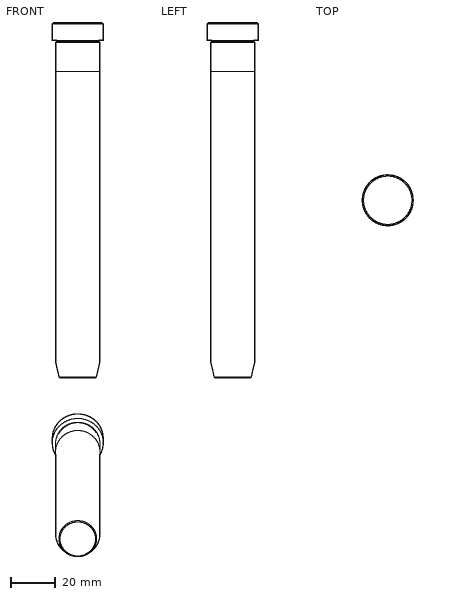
import cadquery as cq

total_length = 160.0
pin_radius = 10.0
head_radius = 11.5
head_height = 8.0
head_chamfer = 0.6

groove_width = 1.0
groove_depth = 0.5
groove_lead = 0.5

joint_depth = 22.0

taper_height = 7.2
tip_radius = 8.5
tip_chamfer = 0.5

head_bottom = total_length - head_height
groove_bottom = head_bottom - groove_width
groove_radius = pin_radius - groove_depth
joint_z = total_length - joint_depth


def revolve_profile(points):
    """Revolve a closed (radius, z) outline around the Z axis."""
    return cq.Workplane("XZ").polyline(points).close().revolve(360, (0, 0), (0, 1))


def make_headed_section():
    """Chamfered head, relief groove and fitted cylinder as one solid."""
    return revolve_profile([
        (0, joint_z),
        (pin_radius, joint_z),
        (pin_radius, groove_bottom),
        (groove_radius, groove_bottom + groove_lead),
        (groove_radius, head_bottom),
        (head_radius, head_bottom),
        (head_radius, total_length - head_chamfer),
        (head_radius - head_chamfer, total_length),
        (0, total_length),
    ])


def make_shank():
    """Long cylinder with a conical lead-in and a small chamfer at the tip."""
    return revolve_profile([
        (0, 0),
        (tip_radius - tip_chamfer, 0),
        (tip_radius, tip_chamfer),
        (pin_radius, taper_height),
        (pin_radius, joint_z),
        (0, joint_z),
    ])


headed_section = make_headed_section()
shank = make_shank()

result = cq.Compound.makeCompound([headed_section.val(), shank.val()])